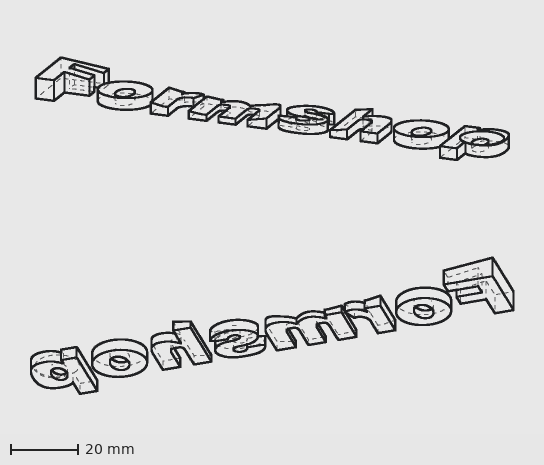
import cadquery as cq


X_HEIGHT = 14.6
ROUND_TOP = 15.0
OVERSHOOT = 0.1
CAP_HEIGHT = 20.2
DESCENDER = 5.3
ARCH_TOP = 10.6
ARCH_SPRING = 8.5
NOTCH = 12.5
SHOULDER_END = 9.5
STEM_WIDTH = 5.5

TALL = 6.5
RIM = 3.7
FAR = 88.5
UP = (0, 1)
DOWN = (0, -1)
RIGHT = (1, 0)
LEFT = (-1, 0)


def cap(letter, profile):
    """Keep the part of a letter under a top line given as (x, z) points from left to right."""
    outline = [(profile[0][0], 0)] + profile + [(profile[-1][0], 0)]
    return letter.intersect(cq.Workplane("XZ").polyline(outline).close().extrude(FAR, both=True))


def dish(rim_center, rim_radii, hole_center, hole_radii, depth):
    """Conical tool falling from an elliptical rim to an elliptical counter."""
    shift = (hole_center[0] - rim_center[0], hole_center[1] - rim_center[1])
    return (
        cq.Workplane("XY", origin=(*rim_center, RIM))
        .ellipse(*rim_radii)
        .workplane(offset=-depth)
        .center(*shift)
        .ellipse(*hole_radii)
        .loft(ruled=True)
    )


def elliptical_hole(center, radii):
    return cq.Workplane("XY").center(*center).ellipse(*radii).extrude(RIM)


def arch_opening(left, right):
    """Opening between two legs: straight sides with a rounded crown."""
    middle = (left + right) / 2
    return (
        cq.Workplane("XY")
        .moveTo(left, -1.5)
        .lineTo(right, -1.5)
        .lineTo(right, ARCH_SPRING)
        .spline([(middle, ARCH_TOP), (left, ARCH_SPRING)], tangents=[UP, DOWN], includeCurrent=True)
        .close()
        .extrude(TALL)
    )


F_WIDTH = 15.3
F_STEM = 5.9
F_BAR = 4.1
F_ARM_END = 13.9
F_ARM_BOTTOM = 8.3
F_ARM_TOP = 12.4
F_END_HEIGHT = 4.9
F_FACET_APEX_Y = 17.7


def make_f():
    bar_bottom = CAP_HEIGHT - F_BAR
    outline = [
        (0, 0), (F_STEM, 0), (F_STEM, F_ARM_BOTTOM), (F_ARM_END, F_ARM_BOTTOM),
        (F_ARM_END, F_ARM_TOP), (F_STEM, F_ARM_TOP), (F_STEM, bar_bottom),
        (F_WIDTH, bar_bottom), (F_WIDTH, CAP_HEIGHT), (0, CAP_HEIGHT),
    ]
    letter = cq.Workplane("XY").polyline(outline).close().extrude(TALL)
    letter = cap(letter, [(0, TALL), (F_STEM, TALL), (F_WIDTH, F_END_HEIGHT)])
    back_left = cq.Vector(0, CAP_HEIGHT, TALL)
    back_right = cq.Vector(F_WIDTH, CAP_HEIGHT, F_END_HEIGHT)
    apex = cq.Vector(F_STEM, F_FACET_APEX_Y, TALL)
    normal = (apex - back_left).cross(back_right - back_left)
    facet = cq.Plane(back_left, xDir=back_right - back_left, normal=normal)
    return letter.cut(cq.Workplane(facet).rect(FAR, FAR).extrude(FAR))


O_CENTERS_X = (25.7, 120.5)
O_CENTER_Y = (ROUND_TOP - OVERSHOOT) / 2
O_RADII = (8.3, O_CENTER_Y + OVERSHOOT)
O_HOLE_RADII = (2.8, 3.8)
O_DISH_DEPTH = 0.96


def make_o(center_x):
    center = (center_x, O_CENTER_Y)
    letter = cq.Workplane("XY").center(*center).ellipse(*O_RADII).extrude(RIM)
    letter = letter.cut(elliptical_hole(center, O_HOLE_RADII))
    return letter.cut(dish(center, O_RADII, center, O_HOLE_RADII, O_DISH_DEPTH))


R_LEFT = 36.9
R_STEM_TOP_RIGHT = 41.8
R_TIP = (48.1, 14.3)
R_TIP_BOTTOM = (46.3, 10.3)
R_TOP_LINE = [(R_LEFT, 3.5), (40.9, 2.8), (R_TIP[0], 2.8)]


def make_r():
    stem_right = R_LEFT + STEM_WIDTH
    letter = (
        cq.Workplane("XY")
        .moveTo(R_LEFT, 0)
        .lineTo(stem_right, 0)
        .lineTo(stem_right, 6.6)
        .spline([(43.0, 9.1), (44.5, 10.5), R_TIP_BOTTOM], includeCurrent=True)
        .lineTo(*R_TIP)
        .spline([(45.5, ROUND_TOP), (43.2, 14.2), (R_STEM_TOP_RIGHT, NOTCH)], includeCurrent=True)
        .lineTo(R_STEM_TOP_RIGHT, X_HEIGHT)
        .lineTo(R_LEFT, X_HEIGHT)
        .close()
        .extrude(TALL)
    )
    return cap(letter, R_TOP_LINE)


M_LEFT = 49.0
M_RIGHT = 73.9
M_STEM_TOP_RIGHT = 54.3
M_VALLEY = 63.7
M_OPENINGS = ((54.7, 58.5), (64.0, 67.9))
M_TOP_LINE = [(M_LEFT, 2.4), (53.1, 1.9), (67.4, 1.9), (M_RIGHT, 3.2)]


def make_m():
    letter = (
        cq.Workplane("XY")
        .moveTo(M_LEFT, 0)
        .lineTo(M_RIGHT, 0)
        .lineTo(M_RIGHT, SHOULDER_END)
        .spline([(69.0, ROUND_TOP), (M_VALLEY, NOTCH)], tangents=[UP, (-1, -1)], includeCurrent=True)
        .spline([(59.3, ROUND_TOP), (M_STEM_TOP_RIGHT, NOTCH)], tangents=[(-1, 1), (-1, -1)],
                includeCurrent=True)
        .lineTo(M_STEM_TOP_RIGHT, X_HEIGHT)
        .lineTo(M_LEFT, X_HEIGHT)
        .close()
        .extrude(TALL)
    )
    for left, right in M_OPENINGS:
        letter = letter.cut(arch_opening(left, right))
    return cap(letter, M_TOP_LINE)


S_UPPER_TIP = (91.2, 11.2)
S_UPPER_TIP_INNER = (89.7, 10.6)
S_LOWER_TIP = (76.1, 4.1)
S_LOWER_TIP_INNER = (77.3, 4.4)
S_FRONT_HEIGHT = 3.0
S_BACK_HEIGHT = 3.5
S_DIP_CENTER = (86.5, 7.1)
S_DIP_RADII = (4.0, 1.6)
S_DIP_ANGLE = -15
S_DIP_DEPTH = 0.7
S_DIP_FLOOR = 0.05


def spine_dip():
    """Shallow elliptical cone pointing down into the diagonal stroke."""
    top = S_FRONT_HEIGHT + (S_BACK_HEIGHT - S_FRONT_HEIGHT) * S_DIP_CENTER[1] / ROUND_TOP
    lift = 2
    wide = (lift * S_DIP_RADII[0], lift * S_DIP_RADII[1])
    cone_height = lift * S_DIP_DEPTH
    return (
        cq.Workplane("XY")
        .ellipse(*wide)
        .workplane(offset=-cone_height)
        .ellipse(wide[0] * S_DIP_FLOOR, wide[1] * S_DIP_FLOOR)
        .loft(ruled=True)
        .rotate((0, 0, 0), (0, 0, 1), S_DIP_ANGLE)
        .translate((*S_DIP_CENTER, top + cone_height - S_DIP_DEPTH))
    )


def make_s():
    upper_curve = [
        (89.1, 13.5), (87.3, 14.5), (83.8, ROUND_TOP), (79.4, 13.9), (76.5, 10.3),
        (78.5, 7.1), (83.4, 5.8), (85.5, 5.2), (86.0, 4.0), (84.4, 2.7), (82.5, 3.1), (81.7, 4.4),
    ]
    lower_curve = [
        (78.5, 0.9), (83.8, -OVERSHOOT), (89.1, 1.0), (91.5, 4.7), (89.7, 8.0),
        (86.9, 9.1), (82.9, 9.7), (81.9, 10.8), (82.6, 12.0), (84.4, 12.0), (85.7, 10.6),
    ]
    letter = (
        cq.Workplane("XY")
        .moveTo(*S_UPPER_TIP)
        .spline(upper_curve, includeCurrent=True)
        .lineTo(*S_LOWER_TIP_INNER)
        .lineTo(*S_LOWER_TIP)
        .spline(lower_curve, includeCurrent=True)
        .lineTo(*S_UPPER_TIP_INNER)
        .close()
        .extrude(TALL)
    )
    side = [(-OVERSHOOT, 0), (ROUND_TOP, 0), (ROUND_TOP, S_BACK_HEIGHT), (-OVERSHOOT, S_FRONT_HEIGHT)]
    letter = letter.intersect(cq.Workplane("YZ").polyline(side).close().extrude(2 * FAR))
    return letter.cut(spine_dip())


H_LEFT = 94.3
H_RIGHT = 109.5
H_LEG_LEFT = 104.0
H_STEM_EDGE_HEIGHT = 2.2
H_ARCH_HEIGHT = 3.1


def make_h():
    stem_right = H_LEFT + STEM_WIDTH
    letter = (
        cq.Workplane("XY")
        .moveTo(H_LEFT, 0)
        .lineTo(H_RIGHT, 0)
        .lineTo(H_RIGHT, SHOULDER_END)
        .spline([(104.7, ROUND_TOP), (stem_right, NOTCH)], tangents=[UP, (-1, -1)], includeCurrent=True)
        .lineTo(stem_right, CAP_HEIGHT)
        .lineTo(H_LEFT, CAP_HEIGHT)
        .close()
        .extrude(TALL)
        .cut(arch_opening(stem_right, H_LEG_LEFT))
    )
    return cap(letter, [(H_LEFT, H_STEM_EDGE_HEIGHT), (stem_right, H_ARCH_HEIGHT), (H_RIGHT, H_ARCH_HEIGHT)])


P_LEFT = 131.6
P_RIGHT = 147.5
P_STEM_TOP_RIGHT = 136.5
P_BOWL_BOTTOM_LEFT = 1.3
P_BOWL_X = 141.3
P_HOLE_CENTER = (139.4, 7.2)
P_HOLE_RADII = (2.4, 3.4)
P_DISH_CENTER = (140.5, 6.2)
P_DISH_RADII = (6.6, 6.2)
P_DISH_DEPTH = 1.8


def make_p():
    stem_right = P_LEFT + STEM_WIDTH
    crown = (P_BOWL_X, ROUND_TOP)
    base = (P_BOWL_X, -OVERSHOOT)
    far_side = (P_RIGHT, O_CENTER_Y)
    letter = (
        cq.Workplane("XY")
        .moveTo(P_LEFT, -DESCENDER)
        .lineTo(stem_right, -DESCENDER)
        .lineTo(stem_right, P_BOWL_BOTTOM_LEFT)
        .spline([base], tangents=[(1, -1), RIGHT], includeCurrent=True)
        .spline([far_side], tangents=[RIGHT, UP], includeCurrent=True)
        .spline([crown], tangents=[UP, LEFT], includeCurrent=True)
        .spline([(P_STEM_TOP_RIGHT, NOTCH)], tangents=[LEFT, (-1, -1)], includeCurrent=True)
        .lineTo(P_STEM_TOP_RIGHT, X_HEIGHT)
        .lineTo(P_LEFT, X_HEIGHT)
        .close()
        .extrude(RIM)
        .cut(elliptical_hole(P_HOLE_CENTER, P_HOLE_RADII))
    )
    return letter.cut(dish(P_DISH_CENTER, P_DISH_RADII, P_HOLE_CENTER, P_HOLE_RADII, P_DISH_DEPTH))


letter_f = make_f()
letters_o = [make_o(center_x) for center_x in O_CENTERS_X]
letter_r = make_r()
letter_m = make_m()
letter_s = make_s()
letter_h = make_h()
letter_p = make_p()

result = cq.Compound.makeCompound([
    *letter_f.vals(),
    *[letter.val() for letter in letters_o],
    *letter_r.vals(),
    *letter_m.vals(),
    *letter_s.vals(),
    *letter_h.vals(),
    *letter_p.vals(),
])